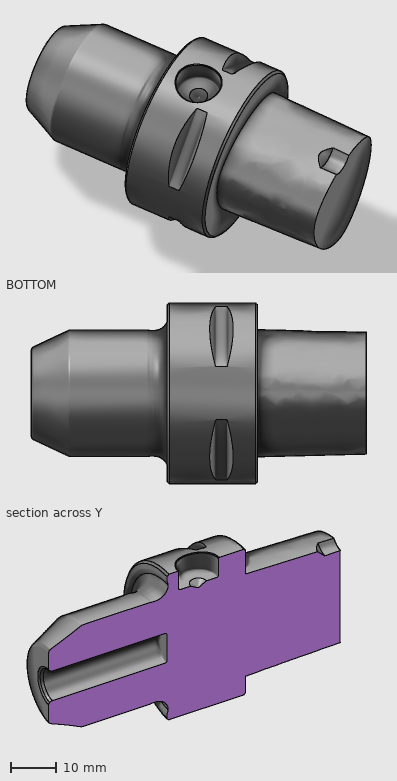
import cadquery as cq
import math


edge_tolerance = 0.1

nose_length = 50.0
flange_length = 20.0
shank_length = 24.0
nose_x = -nose_length
flange_front_x = -flange_length

nose_radius = 14.0
tip_radius = 10.0
cone_length = 8.5
tip_rounding = 1.0
cone_rounding = 0.8

neck_radius = 13.9
neck_step_x = -24.3
neck_step_length = 0.5
neck_fillet_radius = 3.2
face_recess_depth = 0.3
face_recess_radius = 18.2

flange_radius = 20.0
flange_chamfer = 0.5

bore_radius = 4.0
bore_depth = 30.0
bore_floor_rounding = 0.5
bore_entry_radius = 4.25
bore_entry_length = 0.65
bore_mouth_depth = 0.3
bore_mouth_radius = 4.8

screw_x = -12.0
screw_hole_radius = 5.0
screw_hole_chamfer = 0.2
screw_floor_rounding = 0.35
screw_floor_z = 14.75
dimple_radius = 2.0
dimple_point_angle = 120.0

slot_count = 4
slot_first_angle = 45.0
slot_x = -8.0
slot_floor_width = 2.5
slot_floor_rounding = 0.3
slot_depth = 2.34
slot_flank_angle = 30.0

shank_base_radius = 14.06
shank_taper = 1 / 40
lobe_eccentricity = 1.0
lobe_count = 3
lobe_points = 48
shank_overlap = 1.0

keyway_radius = 3.75
keyway_depth = 1.65
keyway_length = 4.0


def make_turned_body():
    fillet_start_x = flange_front_x + face_recess_depth - neck_fillet_radius
    fillet_end_radius = neck_radius + neck_fillet_radius
    fillet_mid_x = fillet_start_x + neck_fillet_radius * math.sin(math.pi / 4)
    fillet_mid_radius = fillet_end_radius - neck_fillet_radius * math.cos(math.pi / 4)
    chamfered_radius = flange_radius - flange_chamfer
    profile = (
        cq.Workplane("XY")
        .moveTo(nose_x, 0)
        .lineTo(nose_x, tip_radius)
        .lineTo(nose_x + cone_length, nose_radius)
        .lineTo(neck_step_x, nose_radius)
        .lineTo(neck_step_x + neck_step_length, neck_radius)
        .lineTo(fillet_start_x, neck_radius)
        .threePointArc(
            (fillet_mid_x, fillet_mid_radius),
            (flange_front_x + face_recess_depth, fillet_end_radius),
        )
        .lineTo(flange_front_x, face_recess_radius)
        .lineTo(flange_front_x, chamfered_radius)
        .lineTo(flange_front_x + flange_chamfer, flange_radius)
        .lineTo(-flange_chamfer, flange_radius)
        .lineTo(0, chamfered_radius)
        .lineTo(0, 0)
        .close()
    )
    body = profile.revolve(360, (0, 0, 0), (1, 0, 0))
    body = round_circle_at(body, nose_x, tip_rounding)
    return round_circle_at(body, nose_x + cone_length, cone_rounding)


def round_circle_at(body, x, rounding):
    """Fillet the circular nose edge that lies in the plane at x."""
    edge_zone = cq.selectors.BoxSelector(
        (x - edge_tolerance, -flange_radius, -flange_radius),
        (x + edge_tolerance, flange_radius, flange_radius),
    )
    return body.edges(edge_zone).edges("%CIRCLE").fillet(rounding)


def lobe_point(angle, mean_radius):
    """Outline point whose tangent line lies R - e cos(n (angle - 90 deg)) from the axis."""
    phase = lobe_count * (angle - math.pi / 2)
    distance = mean_radius - lobe_eccentricity * math.cos(phase)
    slope = lobe_count * lobe_eccentricity * math.sin(phase)
    y = distance * math.cos(angle) - slope * math.sin(angle)
    z = distance * math.sin(angle) + slope * math.cos(angle)
    return y, z


def lobe_outline(x, mean_radius):
    angles = [2 * math.pi * i / lobe_points for i in range(lobe_points)]
    points = [cq.Vector(x, *lobe_point(angle, mean_radius)) for angle in angles]
    return cq.Wire.assembleEdges([cq.Edge.makeSpline(points, periodic=True)])


def make_shank():
    start = lobe_outline(-shank_overlap, shank_base_radius + shank_overlap * shank_taper)
    end = lobe_outline(shank_length, shank_base_radius - shank_length * shank_taper)
    return cq.Workplane(cq.Solid.makeLoft([start, end], True))


def make_bore():
    """Blind bore with a chamfered mouth, a narrow entry cone and a rounded floor edge."""
    entry_x = nose_x + bore_mouth_depth
    floor_x = nose_x + bore_depth
    rounding_start_x = floor_x - bore_floor_rounding
    return (
        cq.Workplane("XY")
        .moveTo(nose_x, 0)
        .lineTo(nose_x, bore_mouth_radius)
        .lineTo(entry_x, bore_entry_radius)
        .lineTo(entry_x + bore_entry_length, bore_radius)
        .lineTo(rounding_start_x, bore_radius)
        .radiusArc((floor_x, bore_radius - bore_floor_rounding), bore_floor_rounding)
        .lineTo(floor_x, 0)
        .close()
        .revolve(360, (0, 0, 0), (1, 0, 0))
    )


def cut_screw_hole(body):
    hole = (
        cq.Workplane("XY", origin=(screw_x, 0, screw_floor_z))
        .circle(screw_hole_radius)
        .extrude(flange_radius - screw_floor_z)
        .faces("<Z")
        .edges()
        .fillet(screw_floor_rounding)
    )
    mouth_low_z = math.sqrt(flange_radius**2 - screw_hole_radius**2)
    mouth_edge = cq.selectors.BoxSelector(
        (screw_x - screw_hole_radius, -screw_hole_radius, mouth_low_z - edge_tolerance),
        (screw_x + screw_hole_radius, screw_hole_radius, flange_radius + edge_tolerance),
        boundingbox=False,
    )
    body = body.cut(hole).edges(mouth_edge).edges("not %LINE").chamfer(screw_hole_chamfer)
    dimple_depth = dimple_radius / math.tan(math.radians(dimple_point_angle / 2))
    dimple_tip = cq.Vector(screw_x, 0, screw_floor_z - dimple_depth)
    dimple = cq.Solid.makeCone(0, dimple_radius, dimple_depth, dimple_tip)
    return body.cut(cq.Workplane(dimple))


def make_slot(angle):
    """Straight slot with sloping flanks, cut at the given angle from +Z toward -Y."""
    floor_half = slot_floor_width / 2
    top_half = floor_half + slot_depth * math.tan(math.radians(slot_flank_angle))
    floor_z = flange_radius - slot_depth
    return (
        cq.Workplane("XZ")
        .moveTo(slot_x - floor_half, floor_z)
        .lineTo(slot_x + floor_half, floor_z)
        .lineTo(slot_x + top_half, flange_radius)
        .lineTo(slot_x - top_half, flange_radius)
        .close()
        .extrude(flange_radius, both=True)
        .faces("<Z")
        .edges("|Y")
        .fillet(slot_floor_rounding)
        .rotate((0, 0, 0), (1, 0, 0), angle)
    )


def make_keyway():
    flat_z = shank_base_radius - shank_length * shank_taper - lobe_eccentricity
    axis_z = flat_z - keyway_depth + keyway_radius
    start_x = shank_length - keyway_length
    return (
        cq.Workplane("XY", origin=(0, 0, axis_z))
        .moveTo(start_x - keyway_radius, 0)
        .lineTo(start_x, keyway_radius)
        .lineTo(shank_length, keyway_radius)
        .lineTo(shank_length, 0)
        .close()
        .revolve(360, (0, 0, 0), (1, 0, 0))
    )


result = make_turned_body().union(make_shank())
result = result.cut(make_bore()).cut(make_keyway())
result = cut_screw_hole(result)
for index in range(slot_count):
    result = result.cut(make_slot(slot_first_angle + index * 360 / slot_count))
result = cq.Workplane(result.solids().val())